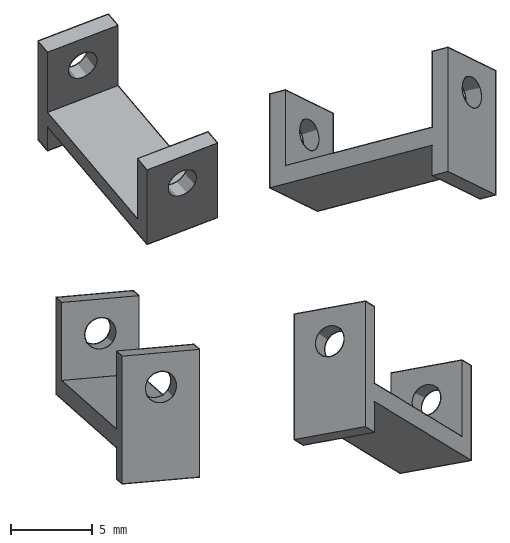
import cadquery as cq

length = 13.6
width = 5.0
thickness = 1.2
wall_rise = 5.0
foot_drop = 2.0
hole_diameter = 2.0
hole_from_top = 2.2

floor_bottom = foot_drop
floor_top = floor_bottom + thickness
wall_top = floor_top + wall_rise
hole_height = wall_top - hole_from_top


def bracket_body():
    """U-shaped bracket whose left wall extends below the floor as a foot."""
    outline = [
        (0, 0),
        (thickness, 0),
        (thickness, floor_bottom),
        (length, floor_bottom),
        (length, wall_top),
        (length - thickness, wall_top),
        (length - thickness, floor_top),
        (thickness, floor_top),
        (thickness, wall_top),
        (0, wall_top),
    ]
    return cq.Workplane("XZ").polyline(outline).close().extrude(width / 2, both=True)


def pin_hole():
    """Cylinder along X that passes through both end walls."""
    return (
        cq.Workplane("YZ")
        .center(0, hole_height)
        .circle(hole_diameter / 2)
        .extrude(length)
    )


result = bracket_body().cut(pin_hole())